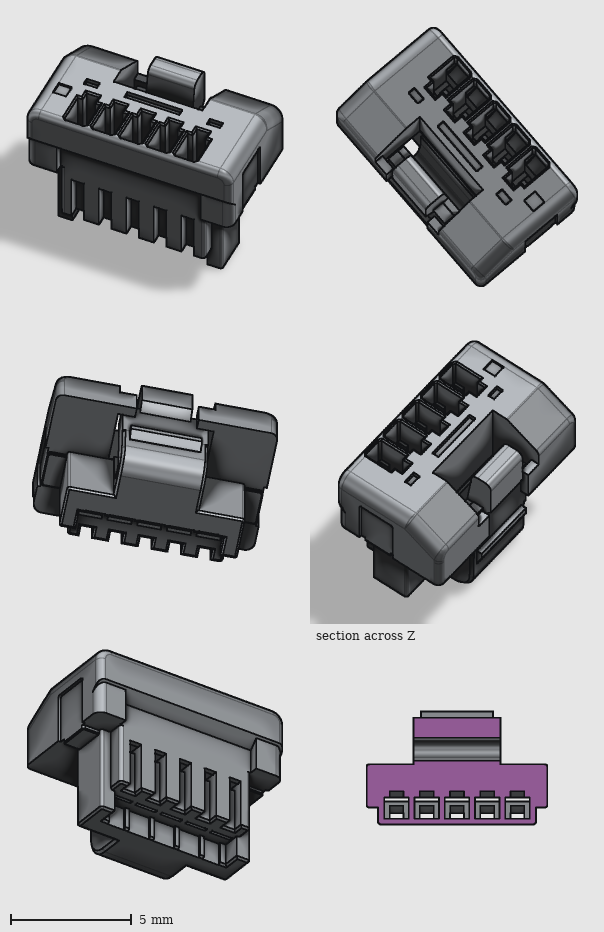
import cadquery as cq
import math


width = 9.35
depth = 5.45
height = 7.05
bevel = 0.09
overlap = 0.09

cap_bottom = 3.86
cap_side_radius = 0.6
cap_edge_radius = 0.3
cap_slope_start = 3.77
cap_slope_angle = 30.0
cap_slope_blend = 0.1

undercut_top = 5.45
undercut_depth = 0.5
corner_block_front = 0.09
corner_block_radius = undercut_depth - corner_block_front

panel_depth = 0.12
panel_front = 1.24
panel_back = 3.0
panel_top = 6.08
panel_radius = 0.11
foot_height = 0.19
foot_front = 1.365
foot_back = 2.85

body_half_width = 3.75
body_front = 1.21
body_back = 3.0
body_radius = 0.11

block_half_width = 3.28
block_bottom = 1.05
block_radius = 0.16

terminal_count = 5
pitch = 1.25
terminal_places = [(index - (terminal_count - 1) / 2) * pitch for index in range(terminal_count)]
cavity_half_width = 0.505
cavity_mouth_front = 0.23
cavity_front = 0.75
cavity_back = 1.62
cavity_floor = 3.26
cavity_lead_in = 0.075
ramp_top = 5.57
ramp_bottom = ramp_top - (cavity_front - cavity_mouth_front)
ramp_half_width = 0.41
mouth_corner = cavity_half_width - ramp_half_width
channel_front = 1.46
slot_half_width = 0.28
notch_back = 2.01
slot_back = 0.96
slot_slope_back = 1.28
slot_slope_bottom = 3.05

recess_half_width = 3.07
recess_back = notch_back
groove_half_width = 0.52
groove_limit = 2.79
groove_depth = 0.11

opening_half_width = 2.02
opening_front = 3.03
stop_half_gap = 1.31
stop_front = 5.06
stop_top = 5.3

arm_half_width = 1.8
arm_outer = 4.94
arm_outer_low = 4.91
arm_inner = 4.095
arm_shoulder_start = 4.41
arm_shoulder_top = 5.14
arm_shoulder_drop = 0.07
arm_bend_radius = 0.97
arm_edge = 0.12
web_lip = 3.06
web_face = 3.15
web_taper_start = 2.3
gap_radius = 0.355
gap_center_y = 3.66
gap_center_z = 1.21

hook_half_width = 1.5
hook_tip = 5.19
hook_top = 2.58
hook_tip_bottom = 2.22
hook_bottom = 1.67
tab_half_width = 1.07
tab_back = 5.34
tab_front = 4.36
tab_top = 6.97
tab_radius = 0.31

key_slot_front = 2.4
key_slot_width = 0.32
key_slot_depth = 0.2
key_slots = ((-2.805, 0.6), (0.0, 2.51), (2.805, 0.6))
mark_side = 0.6
mark_center_x = -3.76
mark_center_y = 1.72
mark_depth = 0.09


def block(x0, x1, y0, y1, z0, z1):
    """Box between two opposite corners."""
    return cq.Workplane("XY").box(x1 - x0, y1 - y0, z1 - z0, centered=False).translate((x0, y0, z0))


def centered_block(half_width, y0, y1, z0, z1):
    """Box that is symmetric about X = 0."""
    return block(-half_width, half_width, y0, y1, z0, z1)


def prism(points, half_width):
    """Closed (Y, Z) outline extruded to both sides of X = 0."""
    return cq.Workplane("YZ").polyline(points).close().extrude(half_width, both=True)


def mirrored(solid):
    return solid.union(solid.mirror("YZ"))


def make_cap():
    back_top = height - (depth - cap_slope_start) * math.tan(math.radians(cap_slope_angle))
    cap = prism(
        [(0, cap_bottom), (0, height), (cap_slope_start, height), (depth, back_top), (depth, cap_bottom)],
        width / 2,
    )
    slope_edge = cq.selectors.NearestToPointSelector((0, cap_slope_start, height))
    cap = cap.edges(slope_edge).fillet(cap_slope_blend)
    side_tops = cq.selectors.BoxSelector(
        (-width, overlap, back_top - overlap), (width, depth - overlap, height + overlap)
    )
    cap = cap.faces("<X or >X").edges(side_tops).fillet(cap_side_radius)
    cap = cap.faces("<Y").edges("not <Z").fillet(cap_edge_radius)
    cap = cap.faces(">Y").edges("not <Z").fillet(cap_edge_radius)

    undercut = prism(
        [
            (-overlap, cap_bottom - overlap),
            (-overlap, undercut_top + overlap),
            (undercut_depth, undercut_top - undercut_depth),
            (undercut_depth, cap_bottom - overlap),
        ],
        width / 2 + overlap,
    )
    corner_blocks = centered_block(width / 2, corner_block_front, depth, 0, height)
    corner_blocks = corner_blocks.edges("|Z and <Y").fillet(corner_block_radius)
    corner_blocks = corner_blocks.cut(centered_block(block_half_width, 0, depth, 0, height))
    cap = cap.cut(undercut.cut(corner_blocks))

    panel_x = width / 2 - panel_depth
    panel = block(panel_x, width / 2 + overlap, panel_front, panel_back, cap_bottom - overlap, panel_top)
    panel = panel.edges("|X and >Z").fillet(panel_radius)
    return cap.cut(mirrored(panel))


def make_latch_opening():
    opening = centered_block(opening_half_width, opening_front, depth + overlap, 0, height + overlap)
    stop = block(stop_half_gap, opening_half_width, stop_front, depth + overlap, 0, stop_top)
    return opening.cut(mirrored(stop))


def make_feet():
    foot_half_width = width / 2 - panel_depth
    feet = centered_block(foot_half_width, foot_front, foot_back, cap_bottom - foot_height, cap_bottom)
    return feet.edges("|Z").chamfer(bevel).faces("<Z").chamfer(bevel / 2)


def make_body():
    body = centered_block(body_half_width, body_front, body_back, 0, cap_bottom + overlap)
    body = body.edges("|Z").fillet(body_radius)
    recess = centered_block(recess_half_width, body_front - overlap, recess_back, -overlap, block_bottom)
    body = body.cut(recess).faces("<Z").chamfer(bevel)

    terminals = centered_block(block_half_width, undercut_depth, channel_front, block_bottom, cap_bottom)
    terminals = terminals.edges("|Z and <Y").fillet(block_radius)
    for terminal_x in terminal_places:
        terminals = terminals.cut(make_slot().translate((terminal_x, 0, 0)))
    terminals = terminals.faces("<Z").edges("not >Y").chamfer(bevel)
    return body.union(terminals)


def make_slot():
    """Front slot of one terminal at X = 0, open at the bottom and closed by a slope at the top."""
    return prism(
        [
            (undercut_depth - overlap, block_bottom - overlap),
            (slot_back, block_bottom - overlap),
            (slot_back, slot_slope_bottom),
            (slot_slope_back, cavity_floor),
            (undercut_depth - overlap, cavity_floor),
        ],
        slot_half_width,
    )


def opening_outline(grow):
    """Right half of the T-shaped wire opening, from front to back, moved outwards by grow."""
    corner_shift = grow * math.tan(math.radians(22.5))
    return [
        (ramp_half_width + corner_shift, cavity_mouth_front - grow),
        (cavity_half_width + grow, cavity_mouth_front + mouth_corner - corner_shift),
        (cavity_half_width + grow, cavity_back + grow),
        (slot_half_width + grow, cavity_back + grow),
        (slot_half_width + grow, notch_back + grow),
    ]


def closed_outline(right_half):
    """Outline with its mirror image about X = 0 added."""
    return right_half + [(-x, y) for x, y in reversed(right_half)]


def make_cavity():
    """Opening of one terminal at X = 0, from the top face down to the cavity floor and the gap below it."""
    top = height + overlap
    shaft = (
        cq.Workplane("XY", origin=(0, 0, cavity_floor))
        .polyline(closed_outline(opening_outline(0)))
        .close()
        .extrude(top - cavity_floor)
    )

    mouth_limits = prism(
        [(0, top), (cavity_mouth_front, ramp_top), (cavity_front, ramp_bottom), (cavity_front, top)],
        cavity_half_width,
    )
    mouth_section = closed_outline([
        (ramp_half_width, ramp_bottom),
        (ramp_half_width, ramp_top),
        (cavity_half_width, ramp_top + mouth_corner),
        (cavity_half_width, top),
    ])
    mouth_section = cq.Workplane("XZ").polyline(mouth_section).close().extrude(-cavity_front)

    shaft_limits = centered_block(cavity_half_width, cavity_front, cavity_back, cavity_floor, top)
    notch_rise = notch_back - cavity_back
    notch_limits = prism(
        [
            (cavity_back, top),
            (cavity_back, cavity_floor),
            (notch_back, cavity_floor + notch_rise),
            (notch_back, top),
        ],
        slot_half_width,
    )
    limits = shaft_limits.union(mouth_limits.intersect(mouth_section)).union(notch_limits)
    cavity = shaft.intersect(limits)

    lead_in = (
        cq.Workplane("XY", origin=(0, 0, height - cavity_lead_in))
        .polyline(closed_outline(opening_outline(0)))
        .close()
        .workplane(offset=cavity_lead_in)
        .polyline(closed_outline(opening_outline(cavity_lead_in)))
        .close()
        .loft(ruled=True)
    )
    channel = centered_block(cavity_half_width, channel_front, cavity_back, 0, cavity_floor)
    return cavity.union(lead_in).union(channel).union(make_slot())


def make_groove(center_x):
    """Groove at the bottom of one terminal, kept clear of the ends of the recess."""
    left = max(center_x - groove_half_width, -groove_limit)
    right = min(center_x + groove_half_width, groove_limit)
    return block(left, right, channel_front, recess_back + groove_depth, -overlap, block_bottom)


def make_latch():
    bend_center_y = arm_outer_low - arm_bend_radius
    bend_mid_y = bend_center_y + arm_bend_radius * math.sin(math.radians(45))
    bend_mid_z = arm_bend_radius * (1 - math.cos(math.radians(45)))
    web_start = body_back - overlap
    shoulder_low = arm_shoulder_top - arm_shoulder_drop
    arm = (
        cq.Workplane("YZ")
        .moveTo(web_start, 0)
        .lineTo(bend_center_y, 0)
        .threePointArc((bend_mid_y, bend_mid_z), (arm_outer_low, arm_bend_radius))
        .lineTo(arm_outer, hook_top)
        .lineTo(arm_outer, arm_shoulder_top)
        .lineTo(arm_shoulder_start, arm_shoulder_top)
        .lineTo(arm_shoulder_start, shoulder_low)
        .lineTo(web_start, shoulder_low)
        .close()
        .extrude(arm_half_width, both=True)
    )
    outer_edges = cq.selectors.BoxSelector(
        (-width, body_back, -overlap), (width, depth, hook_top)
    )
    lower_limits = centered_block(arm_half_width, web_start, arm_outer + overlap, -overlap, hook_top)
    lower = arm.intersect(lower_limits)
    lower = lower.faces("<X or >X").edges(outer_edges).edges("not(>Z)").edges("not(<Y)").chamfer(arm_edge)
    arm = arm.cut(lower_limits).union(lower)

    gap = (
        cq.Workplane("YZ")
        .moveTo(opening_front, height)
        .lineTo(opening_front, cap_bottom + web_face - web_lip)
        .lineTo(web_lip, cap_bottom + web_face - web_lip)
        .lineTo(web_face, cap_bottom)
        .lineTo(web_face, web_taper_start)
        .lineTo(gap_center_y - gap_radius, gap_center_z)
        .threePointArc((gap_center_y, gap_center_z - gap_radius), (gap_center_y + gap_radius, gap_center_z))
        .lineTo(arm_inner, cap_bottom)
        .lineTo(arm_inner, height)
        .close()
        .extrude(width / 2, both=True)
    )
    arm = arm.cut(gap)

    hook = prism(
        [
            (arm_inner + overlap, hook_top),
            (hook_tip, hook_top),
            (hook_tip, hook_tip_bottom),
            (arm_outer, hook_bottom),
            (arm_inner + overlap, hook_bottom),
        ],
        hook_half_width,
    )
    tab = prism(
        [
            (tab_front, tab_top),
            (tab_back, tab_top),
            (tab_back, arm_shoulder_top),
            (arm_outer, arm_shoulder_top - (tab_back - arm_outer)),
            (arm_inner, shoulder_low),
        ],
        tab_half_width,
    )
    tab = tab.edges("|X and >Z").fillet(tab_radius)
    return arm.union(hook).union(tab)


def make_top_marks():
    mark = block(
        mark_center_x - mark_side / 2, mark_center_x + mark_side / 2,
        mark_center_y - mark_side / 2, mark_center_y + mark_side / 2,
        height - mark_depth, height + overlap,
    )
    for center_x, length in key_slots:
        key_slot = block(
            center_x - length / 2, center_x + length / 2,
            key_slot_front, key_slot_front + key_slot_width,
            height - key_slot_depth, height + overlap,
        )
        mark = mark.union(key_slot)
    return mark


housing = make_cap().union(make_body()).union(make_feet())
housing = housing.cut(make_latch_opening()).cut(make_top_marks())
cavity = make_cavity()
for terminal_x in terminal_places:
    housing = housing.cut(cavity.translate((terminal_x, 0, 0))).cut(make_groove(terminal_x))

result = housing.union(make_latch())